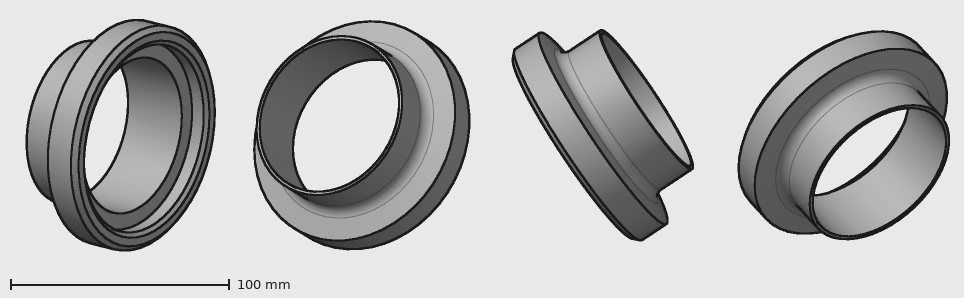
import cadquery as cq
import math

total_length = 40.0
flange_diameter = 105.0
neck_diameter = 76.1
bore_diameter = 72.8
rim_width = 16.1
chamfer = 2.5
recess_diameter = 87.8
recess_depth = 8.5
mouth_depth = 1.7
mouth_flare = 2.1
cone_angle = math.radians(10)
fillet_radius = 5.0

flange_radius = flange_diameter / 2
neck_radius = neck_diameter / 2
bore_radius = bore_diameter / 2
recess_radius = recess_diameter / 2
recess_floor_x = total_length - recess_depth
rim_start = total_length - rim_width

fillet_center_r = neck_radius + fillet_radius
fillet_end_r = fillet_center_r - fillet_radius * math.sin(cone_angle)
fillet_end_x = rim_start - (flange_radius - fillet_end_r) * math.tan(cone_angle)
fillet_center_x = fillet_end_x - fillet_radius * math.cos(cone_angle)


def fillet_point(angle):
    """Point on the fillet arc, with the angle measured from +X towards the axis."""
    return (
        fillet_center_x + fillet_radius * math.cos(angle),
        fillet_center_r - fillet_radius * math.sin(angle),
    )


fillet_mid_angle = (cone_angle + math.pi / 2) / 2

section = (
    cq.Workplane("XY")
    .moveTo(0, bore_radius)
    .lineTo(0, neck_radius)
    .lineTo(fillet_center_x, neck_radius)
    .threePointArc(fillet_point(fillet_mid_angle), (fillet_end_x, fillet_end_r))
    .lineTo(rim_start, flange_radius)
    .lineTo(total_length - chamfer, flange_radius)
    .lineTo(total_length, flange_radius - chamfer)
    .lineTo(total_length, recess_radius + mouth_flare)
    .lineTo(total_length - mouth_depth, recess_radius)
    .lineTo(recess_floor_x, recess_radius)
    .lineTo(recess_floor_x, bore_radius)
    .close()
)

result = section.revolve(360, (0, 0, 0), (1, 0, 0))